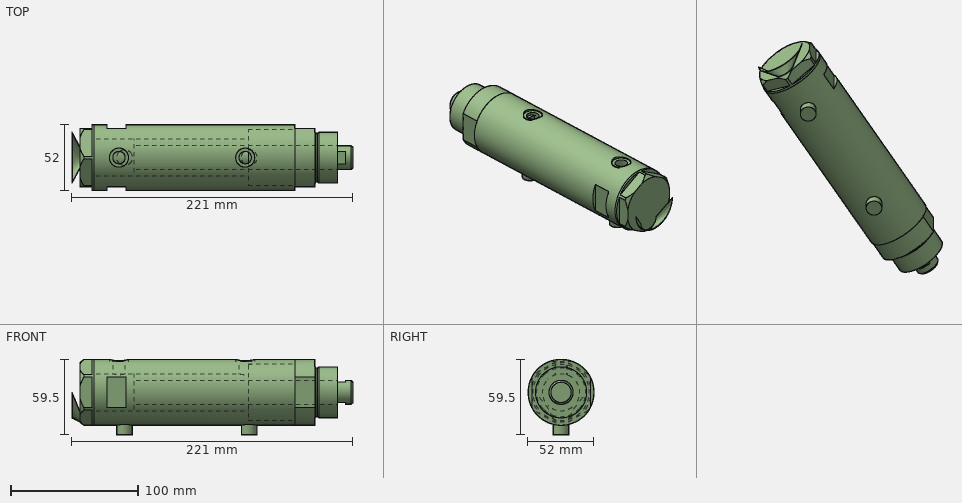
import cadquery as cq


BODY_DIAMETER = 52.0
BODY_RADIUS = BODY_DIAMETER / 2
ACROSS_FLATS = 46.0

NUT_FACE_X = 6.2
NUT_CHAMFER_END_X = 9.3
HEX_END_X = 15.7
BARREL_START_X = 17.5
BARREL_END_X = 175.2
COLLAR_END_X = 190.9
HUB_START_X = 194.0
HUB_END_X = 208.8
STEM_END_X = 221.0

HEX_SIDES = 6
NUT_FACE_RADIUS = 23.5
LIP_RADIUS = 20.0
LIP_THICKNESS = 0.7
LIP_ROOT_X = 10.5
LIP_ROOT_Z = -25.6
NUT_SPIGOT_RADIUS = 14.5
NUT_SPIGOT_END_X = 48.5

WRENCH_SLOT_X = 27.6
WRENCH_SLOT_LENGTH = 14.8
PORT_XS = (37.0, 136.0)
PORT_RADIUS = 4.9
SPOTFACE_RADIUS = 7.5
SPOTFACE_FLOOR_Z = 24.3
PIN_XS = (41.3, 139.2)
PIN_RADIUS = 6.2
PIN_LENGTH = 7.5

CAP_SPIGOT_START_X = 138.5
CAP_SPIGOT_RADIUS = 22.0
HUB_RADIUS = 20.0
GROOVE_DEPTH = 0.9

STEM_RADIUS = 9.5
STEM_ACROSS_FLATS = 16.3
STEM_FLATS_END_X = 214.7
STEM_CHAMFER = 1.5


def cylinder_x(radius, start, end):
    """Cylinder about the X axis."""
    return cq.Workplane("YZ").workplane(offset=start).circle(radius).extrude(end - start)


def revolve_x(profile):
    """Revolve an (x, radius) profile about the X axis."""
    return cq.Workplane("XY").polyline(profile).close().revolve(360, (0, 0, 0), (1, 0, 0))


def slab_y(start, end):
    """Slab that leaves two wrench flats facing +Y and -Y."""
    return cq.Workplane("YZ").workplane(offset=start).rect(ACROSS_FLATS, 2 * BODY_DIAMETER).extrude(end - start)


def make_lip():
    """Thin scoop: a crescent rim at X = 0 that narrows to a point inside the lowest corner of the nut."""
    rim = (
        cq.Workplane("YZ")
        .moveTo(-LIP_RADIUS, 0)
        .threePointArc((0, -LIP_RADIUS), (LIP_RADIUS, 0))
        .threePointArc((0, LIP_THICKNESS - LIP_RADIUS), (-LIP_RADIUS, 0))
        .close()
        .wires()
        .val()
    )
    root = cq.Vertex.makeVertex(LIP_ROOT_X, 0, LIP_ROOT_Z)
    return cq.Workplane(cq.occ_impl.shapes.loft(rim, root, cap=True, ruled=True))


def make_nut():
    """Hexagonal nut with a chamfered front, a round flange, a lip and an inner spigot."""
    hexagon = (
        cq.Workplane("YZ")
        .workplane(offset=NUT_FACE_X)
        .polygon(HEX_SIDES, ACROSS_FLATS, circumscribed=True)
        .extrude(HEX_END_X - NUT_FACE_X)
    )
    chamfered_blank = revolve_x([
        (NUT_FACE_X, 0),
        (NUT_FACE_X, NUT_FACE_RADIUS),
        (NUT_CHAMFER_END_X, BODY_RADIUS),
        (HEX_END_X, BODY_RADIUS),
        (HEX_END_X, 0),
    ])
    flange = cylinder_x(BODY_RADIUS, HEX_END_X, BARREL_START_X)
    spigot = cylinder_x(NUT_SPIGOT_RADIUS, BARREL_START_X, NUT_SPIGOT_END_X)
    return hexagon.intersect(chamfered_blank).union(flange).union(spigot).union(make_lip())


def make_barrel():
    """Tube with wrench slots at the sides, spotfaced ports on top and pins below."""
    barrel = cylinder_x(BODY_RADIUS, BARREL_START_X, BARREL_END_X)
    for x in PIN_XS:
        pin = cq.Workplane("XY").center(x, 0).circle(PIN_RADIUS).extrude(-BODY_RADIUS - PIN_LENGTH)
        barrel = barrel.union(pin)
    barrel = barrel.cut(cylinder_x(NUT_SPIGOT_RADIUS, BARREL_START_X, BARREL_END_X))
    barrel = barrel.cut(cylinder_x(CAP_SPIGOT_RADIUS, CAP_SPIGOT_START_X, BARREL_END_X))

    slot_end = WRENCH_SLOT_X + WRENCH_SLOT_LENGTH
    slotted_ring = cylinder_x(BODY_RADIUS, WRENCH_SLOT_X, slot_end).cut(slab_y(WRENCH_SLOT_X, slot_end))
    barrel = barrel.cut(slotted_ring)

    for x in PORT_XS:
        port = cq.Workplane("XY").center(x, 0).circle(PORT_RADIUS).extrude(BODY_RADIUS)
        spotface = (
            cq.Workplane("XY", origin=(x, 0, SPOTFACE_FLOOR_Z))
            .circle(SPOTFACE_RADIUS)
            .extrude(BODY_RADIUS - SPOTFACE_FLOOR_Z)
        )
        barrel = barrel.cut(port).cut(spotface)
    return barrel


def make_end_cap():
    """Flatted collar with a grooved hub behind it and a spigot inside the barrel."""
    collar = cylinder_x(BODY_RADIUS, BARREL_END_X, COLLAR_END_X).intersect(slab_y(BARREL_END_X, COLLAR_END_X))
    groove_radius = HUB_RADIUS - GROOVE_DEPTH
    hub = revolve_x([
        (COLLAR_END_X, 0),
        (COLLAR_END_X, HUB_RADIUS),
        (COLLAR_END_X + GROOVE_DEPTH, groove_radius),
        (HUB_START_X - GROOVE_DEPTH, groove_radius),
        (HUB_START_X, HUB_RADIUS),
        (HUB_END_X, HUB_RADIUS),
        (HUB_END_X, 0),
    ])
    spigot = cylinder_x(CAP_SPIGOT_RADIUS, CAP_SPIGOT_START_X, BARREL_END_X)
    stem_bore = cylinder_x(STEM_RADIUS, CAP_SPIGOT_START_X, HUB_END_X)
    return collar.union(hub).union(spigot).cut(stem_bore)


def make_stem():
    """Rod from the nut spigot out through the end cap, with two wrench flats outside."""
    rod = cylinder_x(STEM_RADIUS, NUT_SPIGOT_END_X, STEM_END_X).faces(">X").chamfer(STEM_CHAMFER)
    exposed_ring = cylinder_x(STEM_RADIUS, HUB_END_X, STEM_FLATS_END_X)
    flatted_core = (
        cq.Workplane("YZ")
        .workplane(offset=HUB_END_X)
        .rect(4 * STEM_RADIUS, STEM_ACROSS_FLATS)
        .extrude(STEM_FLATS_END_X - HUB_END_X)
    )
    return rod.cut(exposed_ring.cut(flatted_core))


nut = make_nut()
barrel = make_barrel()
end_cap = make_end_cap()
stem = make_stem()

result = cq.Compound.makeCompound([body.solids().val() for body in (nut, barrel, end_cap, stem)])